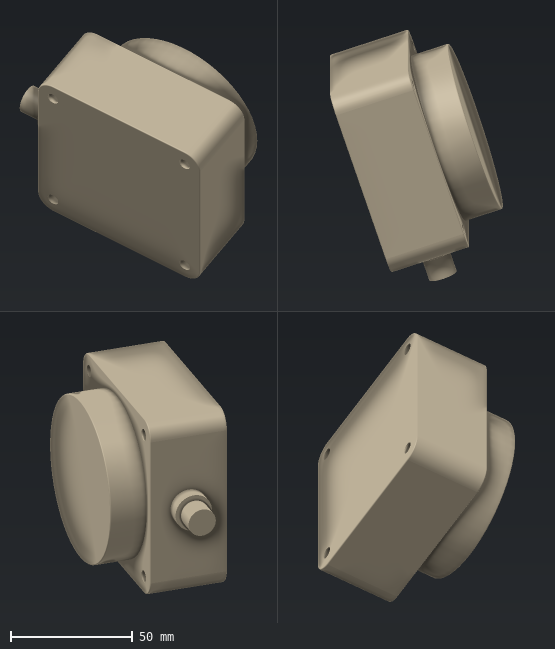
import cadquery as cq

housing_side = 80.0
housing_depth = 34.0
corner_radius = 7.7
edge_rounding = 0.5

hole_diameter = 5.2
hole_spacing = 64.9

total_depth = 50.0
head_diameter = 71.9
head_rounding = 0.5

total_length = 96
collar_diameter = 16.0
collar_length = 6.0
plug_diameter = 12.0
plug_length = 9.0
neck_diameter = 11.0
connector_length = total_length - housing_side
neck_length = connector_length - collar_length - plug_length


def make_housing():
    """Rounded square block with both rims rounded."""
    block = cq.Workplane("XY").box(housing_side, housing_depth, housing_side)
    block = block.translate((0, housing_depth / 2, 0))
    return block.edges("|Y").fillet(corner_radius).faces("<Y or >Y").edges().fillet(edge_rounding)


def make_head():
    """Round disc standing on the back face of the housing."""
    back_face = cq.Workplane("XZ", origin=(0, housing_depth, 0))
    head = back_face.circle(head_diameter / 2).extrude(housing_depth - total_depth)
    return head.faces(">Y").edges().fillet(head_rounding)


def make_connector():
    """Collar, neck and plug stacked outwards along -X."""
    side_face = cq.Workplane("YZ", origin=(-housing_side / 2, housing_depth / 2, 0))
    collar = side_face.circle(collar_diameter / 2).extrude(-collar_length)
    neck = side_face.circle(neck_diameter / 2).extrude(-collar_length - neck_length)
    plug_start = side_face.workplane(offset=-collar_length - neck_length)
    plug = plug_start.circle(plug_diameter / 2).extrude(-plug_length)
    return collar.union(neck).union(plug)


def make_holes():
    """Corner holes running through the full depth."""
    return (
        cq.Workplane("XZ")
        .rarray(hole_spacing, hole_spacing, 2, 2)
        .circle(hole_diameter / 2)
        .extrude(-total_depth)
    )


result = make_housing().union(make_head()).union(make_connector()).cut(make_holes())